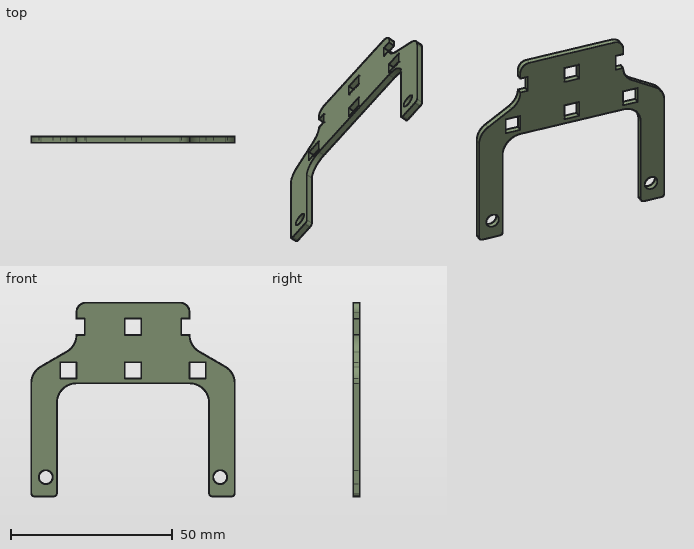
import cadquery as cq
import math

width = 63.0
height = 60.0
thickness = 2.0
extrusion = -thickness

head_width = 35.0
head_corner_radius = 3.0

shoulder_radius = 6.0
shoulder_slope = math.radians(30)

leg_width = 8.0
opening_depth = 25.0
opening_radius = 6.0
foot_radius = 1.0

window = 5.0
upper_window_z = height - 7.5
lower_window_z = height - 21.0
lower_window_pitch = 20.0
notch_depth = 2.5

hole_diameter = 4.2
hole_inset = 4.55
hole_z = 6.0

half_width = width / 2
half_head = head_width / 2
half_opening = half_width - leg_width
opening_z = height - opening_depth

neck_z = upper_window_z - window / 2
arc_run = shoulder_radius * (1 - math.cos(math.pi / 2 - shoulder_slope))
arc_drop = shoulder_radius * math.sin(math.pi / 2 - shoulder_slope)
slope_run = half_width - half_head - 2 * arc_run
slope_drop = slope_run * math.tan(shoulder_slope)
slope_top = (half_head + arc_run, neck_z - arc_drop)
slope_bottom = (slope_top[0] + slope_run, slope_top[1] - slope_drop)
shoulder_z = slope_bottom[1] - arc_drop


def make_half_plate():
    """Build the +X half of the plate, with its outer and inner outline."""
    return (
        cq.Workplane("XZ")
        .moveTo(0, height)
        .lineTo(half_head - head_corner_radius, height)
        .tangentArcPoint((half_head, height - head_corner_radius), relative=False)
        .lineTo(half_head, neck_z)
        .tangentArcPoint(slope_top, relative=False)
        .lineTo(*slope_bottom)
        .tangentArcPoint((half_width, shoulder_z), relative=False)
        .lineTo(half_width, foot_radius)
        .tangentArcPoint((half_width - foot_radius, 0), relative=False)
        .lineTo(half_opening + foot_radius, 0)
        .tangentArcPoint((half_opening, foot_radius), relative=False)
        .lineTo(half_opening, opening_z - opening_radius)
        .tangentArcPoint((half_opening - opening_radius, opening_z), relative=False)
        .lineTo(0, opening_z)
        .close()
        .extrude(extrusion)
    )


def make_windows():
    """Square cutters for the upper window and the row of three below it."""
    centers = [(0, upper_window_z)]
    for column in (-1, 0, 1):
        centers.append((column * lower_window_pitch, lower_window_z))
    return cq.Workplane("XZ").pushPoints(centers).rect(window, window).extrude(extrusion)


def make_notches():
    """Cutters centred on the head sides, so half of each lies in the plate."""
    centers = [(side * half_head, upper_window_z) for side in (-1, 1)]
    return cq.Workplane("XZ").pushPoints(centers).rect(2 * notch_depth, window).extrude(extrusion)


def make_holes():
    """Round cutters for the mounting holes near the feet."""
    hole_x = half_width - hole_inset
    centers = [(side * hole_x, hole_z) for side in (-1, 1)]
    return cq.Workplane("XZ").pushPoints(centers).circle(hole_diameter / 2).extrude(extrusion)


half_plate = make_half_plate()
plate = half_plate.union(half_plate.mirror("YZ")).clean()
result = plate.cut(make_windows()).cut(make_notches()).cut(make_holes())